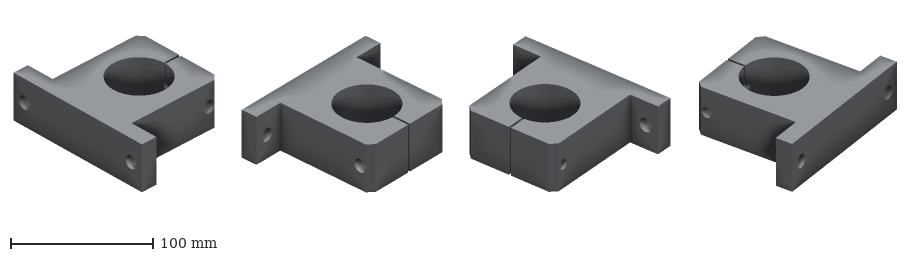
import cadquery as cq

flange_length = 130
flange_thickness = 14.0
height = 40.0
mount_hole_diameter = 11.0
mount_hole_spacing = 108.0

depth = 100.0
block_width = 80.0
corner_chamfer = 5.0
bore_diameter = 50.0
bore_center_y = 60.0
slit_width = 2.0

screw_hole_diameter = 8.3
clearance_hole_diameter = 11.0
screw_inset = 10.0


def make_body():
    """Flange with the clamp block standing on its middle."""
    flange = cq.Workplane("XY").box(flange_length, flange_thickness, height, centered=(True, False, True))
    block = (
        cq.Workplane("XY")
        .box(block_width, depth, height, centered=(True, False, True))
        .edges("|Z and >Y")
        .chamfer(corner_chamfer)
    )
    return flange.union(block)


def make_bore_and_slit():
    """Shaft bore, open to the far end through a narrow slit."""
    bore = (
        cq.Workplane("XY")
        .center(0, bore_center_y)
        .circle(bore_diameter / 2)
        .extrude(height / 2, both=True)
    )
    slit = (
        cq.Workplane("XY")
        .center(0, bore_center_y)
        .box(slit_width, depth - bore_center_y, height, centered=(True, False, True))
    )
    return bore.union(slit)


def make_mount_holes():
    """Two holes through the flange along Y."""
    return (
        cq.Workplane("XZ")
        .pushPoints([(-mount_hole_spacing / 2, 0), (mount_hole_spacing / 2, 0)])
        .circle(mount_hole_diameter / 2)
        .extrude(-flange_thickness)
    )


def make_screw_hole():
    """Screw hole along X: narrow on the -X side, wider clearance from the slit to the +X face."""
    axis_start = cq.Workplane("YZ").center(depth - screw_inset, 0)
    narrow_hole = axis_start.circle(screw_hole_diameter / 2).extrude(-block_width / 2)
    clearance_hole = axis_start.circle(clearance_hole_diameter / 2).extrude(block_width / 2)
    return narrow_hole.union(clearance_hole)


result = make_body().cut(make_bore_and_slit()).cut(make_mount_holes()).cut(make_screw_hole())